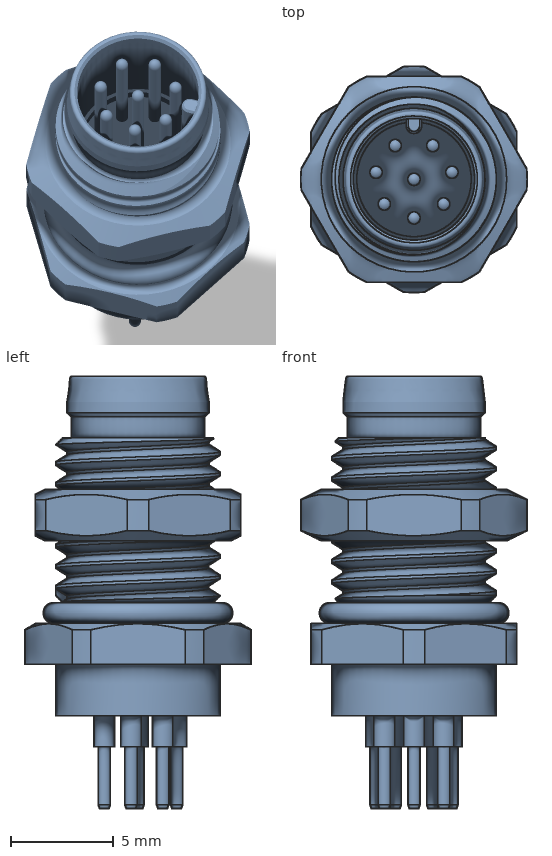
import cadquery as cq
import math

cup_bottom_z = 3.0
sleeve_bottom_z = 4.5
flange_bottom_z = 7.0
flange_top_z = 9.0
thread_bottom_z = 10.0
nut_bottom_z = 13.0
nut_top_z = 15.5
thread_top_z = 18.0
collar_bottom_z = 19.03
collar_edge_z = 19.23
collar_taper_z = 19.75
top_z = 21.0

sleeve_radius = 4.0
neck_radius = 3.25
collar_radius = 3.45
collar_top_radius = 3.3
collar_top_fillet = 0.15

bore_radius = 2.95
bore_chamfer = 0.13
bore_floor_z = 15.0
bore_ledge_radius = 2.78
bore_ledge_height = 0.5

thread_radius = 4.0
thread_root_radius = 3.45
thread_pitch = 1.0
thread_flat = 0.15
thread_end_chamfer = 0.35
groove_start_angle = 90.0
groove_start_z = thread_bottom_z + thread_pitch * groove_start_angle / 360
groove_overrun = 0.05
blank_overrun = 3 * thread_pitch

hex_across_flats = 10.0
hex_corner_radius = 5.5
nut_face_radius = 4.5
nut_corner_drop = 0.5
nut_turn = 30
flange_face_radius = 4.95
flange_corner_drop = 0.32
flange_turn = 0

ring_outer_radius = 4.6
ring_section_radius = (thread_bottom_z - flange_top_z) / 2

pin_radius = 0.3
pin_top_z = 20.8
pin_tip_chamfer_width = 0.07
pin_tip_chamfer_height = 0.2
cup_radius = 0.5
pin_circle_radius = 1.875
pin_spacing_angle = 50.3
outer_pin_count = 7
first_pin_angle = -90 - pin_spacing_angle * (outer_pin_count // 2)

key_radius = 0.375
key_centre_y = 2.6
key_top_z = 20.9
key_top_chamfer = 0.1


def cylinder(radius, bottom_z, height):
    return cq.Workplane("XY").workplane(offset=bottom_z).circle(radius).extrude(height)


def revolve_about_z(profile):
    """Revolve a profile drawn with X as the radius and Y as the height."""
    return profile.close().revolve(360, (0, 0, 0), (0, 1, 0))


def make_plug():
    """Neck and tapered collar above the thread."""
    profile = (
        cq.Workplane("XZ")
        .moveTo(0, thread_top_z)
        .lineTo(neck_radius, thread_top_z)
        .lineTo(neck_radius, collar_bottom_z)
        .lineTo(collar_radius, collar_edge_z)
        .lineTo(collar_radius, collar_taper_z)
        .lineTo(collar_top_radius, top_z)
        .lineTo(0, top_z)
    )
    return revolve_about_z(profile).faces(">Z").edges().fillet(collar_top_fillet)


def make_thread():
    """Chamfered threaded barrel whose helical groove starts blind and runs out at the top."""
    length = thread_top_z - thread_bottom_z
    envelope = cylinder(thread_radius, thread_bottom_z, length)
    envelope = envelope.faces("<Z or >Z").edges().chamfer(thread_end_chamfer)
    blank = cylinder(thread_radius, thread_bottom_z - blank_overrun, length + 2 * blank_overrun)

    flank_height = (thread_pitch - 2 * thread_flat) / 2
    flank_slope = flank_height / (thread_radius - thread_root_radius)
    root_half = thread_flat / 2
    mouth_radius = thread_radius + groove_overrun
    mouth_half = root_half + flank_slope * (mouth_radius - thread_root_radius)
    groove_height = thread_top_z + thread_pitch - groove_start_z
    helix = cq.Wire.makeHelix(thread_pitch, groove_height, thread_root_radius)
    groove = (
        cq.Workplane("XZ")
        .moveTo(thread_root_radius, -root_half)
        .lineTo(mouth_radius, -mouth_half)
        .lineTo(mouth_radius, mouth_half)
        .lineTo(thread_root_radius, root_half)
        .close()
        .sweep(cq.Workplane(obj=helix), isFrenet=True)
        .rotate((0, 0, 0), (0, 0, 1), groove_start_angle)
        .translate((0, 0, groove_start_z))
    )
    return blank.cut(groove).intersect(envelope)


def make_hexagon(bottom_z, upper_z, face_radius, corner_drop, turn, chamfer_bottom):
    """Hexagon with turned corners and conical chamfers that start at face_radius."""
    height = upper_z - bottom_z
    envelope = cq.Workplane("XZ").moveTo(0, bottom_z)
    if chamfer_bottom:
        envelope = envelope.lineTo(face_radius, bottom_z)
        envelope = envelope.lineTo(hex_corner_radius, bottom_z + corner_drop)
    else:
        envelope = envelope.lineTo(hex_corner_radius, bottom_z)
    envelope = envelope.lineTo(hex_corner_radius, upper_z - corner_drop)
    envelope = envelope.lineTo(face_radius, upper_z).lineTo(0, upper_z)
    hexagon = (
        cq.Workplane("XY")
        .workplane(offset=bottom_z)
        .polygon(6, hex_across_flats, circumscribed=True)
        .extrude(height)
        .rotate((0, 0, 0), (0, 0, 1), turn)
    )
    return hexagon.intersect(revolve_about_z(envelope))


def make_sealing_ring():
    """Round-section sealing ring on a core that joins the flange and the thread."""
    centre_radius = ring_outer_radius - ring_section_radius
    centre_z = flange_top_z + ring_section_radius
    ring = (
        cq.Workplane("XZ")
        .center(centre_radius, centre_z)
        .circle(ring_section_radius)
        .revolve(360, (-centre_radius, 0, 0), (-centre_radius, 1, 0))
    )
    core = cylinder(thread_radius - thread_end_chamfer, flange_top_z, thread_bottom_z - flange_top_z)
    return core.union(ring)


def make_bore():
    """Stepped socket bore with a chamfered mouth."""
    ledge_z = bore_floor_z + bore_ledge_height
    profile = (
        cq.Workplane("XZ")
        .moveTo(0, bore_floor_z)
        .lineTo(bore_ledge_radius, bore_floor_z)
        .lineTo(bore_ledge_radius, ledge_z)
        .lineTo(bore_radius, ledge_z)
        .lineTo(bore_radius, top_z - bore_chamfer)
        .lineTo(bore_radius + bore_chamfer, top_z)
        .lineTo(0, top_z)
    )
    return revolve_about_z(profile)


def make_key():
    """Round-nosed coding key, trimmed to the bore wall."""
    height = key_top_z - bore_floor_z
    key = (
        cq.Workplane("XY")
        .workplane(offset=bore_floor_z)
        .moveTo(-key_radius, bore_radius)
        .lineTo(-key_radius, key_centre_y)
        .threePointArc((0, key_centre_y - key_radius), (key_radius, key_centre_y))
        .lineTo(key_radius, bore_radius)
        .close()
        .extrude(height)
    )
    key = key.faces(">Z").edges("not >Y").chamfer(key_top_chamfer)
    return key.intersect(cylinder(bore_radius, bore_floor_z, height))


def make_contact_end():
    """Round-ended contact inside the bore."""
    contact = cylinder(pin_radius, bore_floor_z, pin_top_z - pin_radius - bore_floor_z)
    ball = cq.Workplane("XY").sphere(pin_radius).translate((0, 0, pin_top_z - pin_radius))
    return contact.union(ball)


def make_solder_end():
    """Chamfered solder pin below its thicker shoulder."""
    pin = cylinder(pin_radius, 0, cup_bottom_z)
    pin = pin.faces("<Z").edges().chamfer(pin_tip_chamfer_height, pin_tip_chamfer_width)
    return pin.union(cylinder(cup_radius, cup_bottom_z, sleeve_bottom_z - cup_bottom_z))


def pin_positions():
    positions = [(0, 0, 0)]
    for index in range(outer_pin_count):
        angle = math.radians(first_pin_angle + index * pin_spacing_angle)
        positions.append((pin_circle_radius * math.cos(angle), pin_circle_radius * math.sin(angle), 0))
    return positions


result = make_thread()
result = result.union(make_plug())
result = result.union(
    make_hexagon(nut_bottom_z, nut_top_z, nut_face_radius, nut_corner_drop, nut_turn, True)
)
result = result.union(make_sealing_ring())
result = result.union(
    make_hexagon(flange_bottom_z, flange_top_z, flange_face_radius, flange_corner_drop, flange_turn, False)
)
result = result.union(cylinder(sleeve_radius, sleeve_bottom_z, flange_bottom_z - sleeve_bottom_z))
result = result.cut(make_bore())
result = result.union(make_key())
for position in pin_positions():
    result = result.union(make_contact_end().translate(position))
    result = result.union(make_solder_end().translate(position))